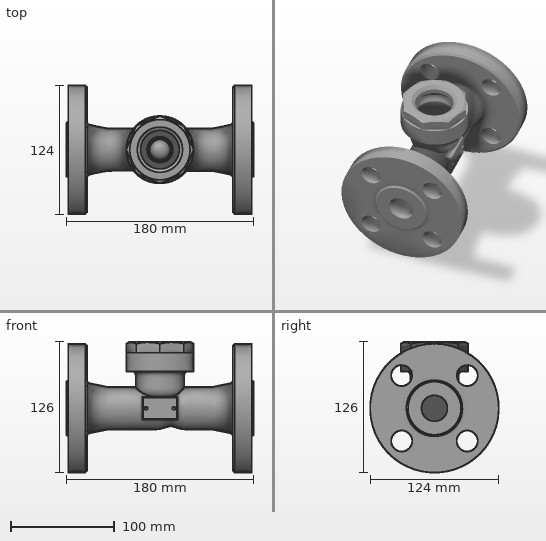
import cadquery as cq
import math

half_length = 90.0
pipe_radius = 41.0 / 2
bore_radius = 25.0 / 2
bore_web = 14.4

flange_radius = 124.0 / 2
flange_thickness = 18.4
flange_chamfer = 2.0
raised_face_height = 1.6
raised_face_radius = 51.0 / 2
raised_face_base_radius = 27.0
bolt_hole_diameter = 20.0
bolt_spacing = 63.0
flange_front_x = half_length - raised_face_height
flange_back_x = flange_front_x - flange_thickness

hub_fillet = 3.0
hub_radius = 24.0
hub_wide_x = flange_back_x - hub_fillet
hub_narrow_x = 50.2

waist_start_x = -4.7
waist_end_x = 25.4
waist_radius = 17.5

overall_height = 126.0
top_z = overall_height - flange_radius
neck_radius = 47.0 / 2
neck_base_z = 19.3
neck_base_rounding = 9.0
neck_fillet = 3.0
collar_radius = 65.0 / 2
collar_bottom_z = 35.3
collar_edge_chamfer = 0.5
octagon_bottom_z = 53.5
octagon_sides = 8
octagon_top_radius = 58.0 / 2
octagon_chamfer_angle = 30.0

opening_radius = 37.0 / 2
opening_chamfer_depth = 2.7
opening_chamfer_width = 3.2
glass_pocket_radius = 56.0 / 2
glass_pocket_bottom_z = 45.9
glass_pocket_top_z = 56.7
chamber_floor_z = 21.6

ball_radius = 20.0 / 2
ball_z = 24.3
tube_radius = 23.0 / 2
tube_groove_radius = 25.0 / 2
tube_groove_depth = 0.9

plate_width = 34.4
plate_height = 21.8
plate_front_y = -23.5
plate_chamfer_depth = 1.5
plate_side_bevel = 1.3
plate_top_bevel = 0.7
rivet_spacing = 26.6
rivet_radius = 1.5


def cylinder_z(radius, bottom_z, height):
    return cq.Workplane("XY").workplane(offset=bottom_z).circle(radius).extrude(height)


def make_flange_end():
    """Flange, raised face and hub at the +X end, turned about the X axis."""
    profile = (
        cq.Workplane("XZ")
        .moveTo(hub_narrow_x, 0)
        .lineTo(hub_narrow_x, pipe_radius)
        .lineTo(hub_wide_x, hub_radius)
        .radiusArc((flange_back_x, hub_radius + hub_fillet), -hub_fillet)
        .lineTo(flange_back_x, flange_radius - flange_chamfer)
        .lineTo(flange_back_x + flange_chamfer, flange_radius)
        .lineTo(flange_front_x, flange_radius)
        .lineTo(flange_front_x, raised_face_base_radius)
        .lineTo(half_length, raised_face_radius)
        .lineTo(half_length, 0)
        .close()
    )
    flange = profile.revolve(360, (0, 0, 0), (1, 0, 0))
    bolt_holes = (
        cq.Workplane("YZ", origin=(flange_back_x, 0, 0))
        .rect(bolt_spacing, bolt_spacing, forConstruction=True)
        .vertices()
        .circle(bolt_hole_diameter / 2)
        .extrude(flange_thickness)
    )
    return flange.cut(bolt_holes)


def make_pipe():
    """Straight pipe with a smooth shallow waist, turned about the X axis."""
    waist_middle_x = (waist_start_x + waist_end_x) / 2
    return (
        cq.Workplane("XZ")
        .moveTo(-hub_narrow_x, 0)
        .lineTo(-hub_narrow_x, pipe_radius)
        .lineTo(waist_start_x, pipe_radius)
        .spline(
            [(waist_middle_x, waist_radius), (waist_end_x, pipe_radius)],
            tangents=[(1, 0), (1, 0)],
            includeCurrent=True,
        )
        .lineTo(hub_narrow_x, pipe_radius)
        .lineTo(hub_narrow_x, 0)
        .close()
        .revolve(360, (0, 0, 0), (1, 0, 0))
    )


def make_chamber_outside():
    """Rounded neck and round collar, turned about the Z axis."""
    neck_bottom_z = neck_base_z - neck_base_rounding
    return (
        cq.Workplane("XZ")
        .moveTo(0, neck_bottom_z)
        .lineTo(neck_radius - neck_base_rounding, neck_bottom_z)
        .radiusArc((neck_radius, neck_base_z), -neck_base_rounding)
        .lineTo(neck_radius, collar_bottom_z - neck_fillet)
        .radiusArc((neck_radius + neck_fillet, collar_bottom_z), neck_fillet)
        .lineTo(collar_radius - collar_edge_chamfer, collar_bottom_z)
        .lineTo(collar_radius, collar_bottom_z + collar_edge_chamfer)
        .lineTo(collar_radius, octagon_bottom_z)
        .lineTo(0, octagon_bottom_z)
        .close()
        .revolve(360, (0, 0, 0), (0, 1, 0))
    )


def make_octagon_top():
    """Octagonal grip whose corners are cut back by a cone at the top."""
    octagon = (
        cq.Workplane("XY")
        .workplane(offset=octagon_bottom_z)
        .polygon(octagon_sides, 2 * collar_radius)
        .extrude(top_z - octagon_bottom_z)
    )
    chamfer_width = collar_radius - octagon_top_radius
    chamfer_height = chamfer_width * math.tan(math.radians(octagon_chamfer_angle))
    envelope = (
        cylinder_z(collar_radius, octagon_bottom_z, top_z - octagon_bottom_z)
        .faces(">Z")
        .chamfer(chamfer_height, chamfer_width)
    )
    return octagon.intersect(envelope)


def make_chamber_inside():
    """Chamfered opening, wider glass pocket and the chamber below it."""
    opening_wide_radius = opening_radius + opening_chamfer_width
    return (
        cq.Workplane("XZ")
        .moveTo(0, chamber_floor_z)
        .lineTo(opening_radius, chamber_floor_z)
        .lineTo(opening_radius, glass_pocket_bottom_z)
        .lineTo(glass_pocket_radius, glass_pocket_bottom_z)
        .lineTo(glass_pocket_radius, glass_pocket_top_z)
        .lineTo(opening_radius, glass_pocket_top_z)
        .lineTo(opening_radius, top_z - opening_chamfer_depth)
        .lineTo(opening_wide_radius, top_z)
        .lineTo(0, top_z)
        .close()
        .revolve(360, (0, 0, 0), (0, 1, 0))
    )


def make_ball_tube():
    """Tube wall with a rounded rim, as wide inside as the ball."""
    lip_radius = (tube_radius - ball_radius) / 2
    bottom_z = chamber_floor_z - tube_groove_depth
    return (
        cq.Workplane("XZ")
        .moveTo(ball_radius, bottom_z)
        .lineTo(tube_radius, bottom_z)
        .lineTo(tube_radius, ball_z)
        .threePointArc((tube_radius - lip_radius, ball_z + lip_radius), (ball_radius, ball_z))
        .close()
        .revolve(360, (0, 0, 0), (0, 1, 0))
    )


def make_name_plate():
    """Bevelled plate with two round rivet heads, rooted inside the pipe."""
    bevel_start_y = plate_front_y + plate_chamfer_depth
    base = (
        cq.Workplane("XZ", origin=(0, 0, 0))
        .rect(plate_width, plate_height)
        .extrude(-bevel_start_y)
    )
    bevel = (
        cq.Workplane("XZ", origin=(0, bevel_start_y, 0))
        .rect(plate_width, plate_height)
        .workplane(offset=plate_chamfer_depth)
        .rect(plate_width - 2 * plate_side_bevel, plate_height - 2 * plate_top_bevel)
        .loft(ruled=True)
    )
    rivets = (
        cq.Workplane("XZ", origin=(0, plate_front_y, 0))
        .pushPoints([(-rivet_spacing / 2, 0), (rivet_spacing / 2, 0)])
        .sphere(rivet_radius)
    )
    return base.union(bevel).union(rivets)


def make_housing():
    flange_end = make_flange_end()
    housing = make_pipe()
    housing = housing.union(flange_end).union(flange_end.mirror("YZ"))
    housing = housing.union(make_chamber_outside()).union(make_octagon_top())
    housing = housing.union(make_name_plate())

    bore = cq.Workplane("YZ", origin=(bore_web / 2, 0, 0)).circle(bore_radius).extrude(half_length)
    housing = housing.cut(bore).cut(bore.mirror("YZ"))

    housing = housing.cut(make_chamber_inside())
    groove_bottom_z = chamber_floor_z - tube_groove_depth
    housing = housing.cut(cylinder_z(tube_groove_radius, groove_bottom_z, tube_groove_depth))
    housing = housing.union(make_ball_tube())
    socket_bottom_z = ball_z - ball_radius
    return housing.cut(cylinder_z(ball_radius, socket_bottom_z, ball_radius)).solids()


def make_ball():
    return cq.Workplane("XY", origin=(0, 0, ball_z)).sphere(ball_radius)


housing = make_housing()
ball = make_ball()

result = cq.Compound.makeCompound([housing.val(), ball.val()])